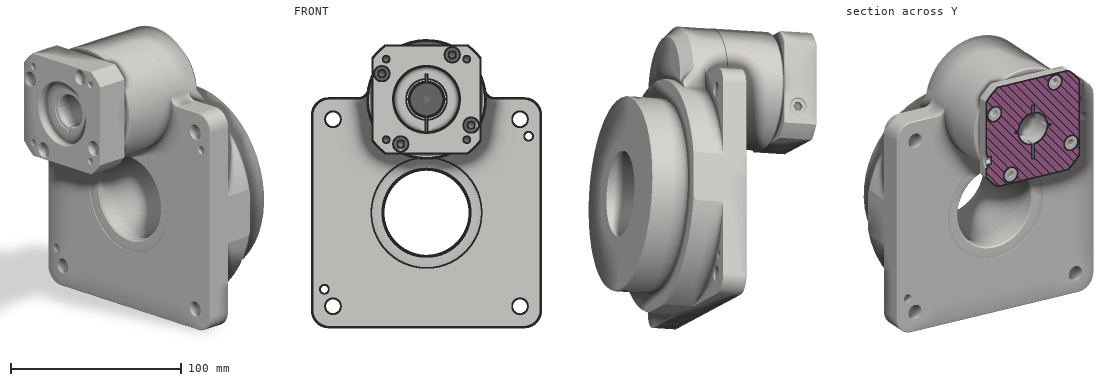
import cadquery as cq
import math


plate_side = 135.0
plate_half = plate_side / 2
plate_thickness = 14.7
plate_corner_radius = 10.1
front_edge_chamfer = 0.5

drum_radius = 69.0
drum_back = 33.0
drum_edge_depth = 1.5
drum_edge_drop = 0.5
disc_radius = 57.5
disc_back = 55.1
disc_edge_depth = 1.0
disc_edge_drop = 0.3

bore_radius = 25.2
bore_chamfer = 0.8
ring_recess_radius = 32.5
ring_recess_depth = 0.5

mount_hole_offset = 55.0
mount_hole_radius = 4.5
dowel_hole_x = 60.0
dowel_hole_z = 45.0
dowel_hole_radius = 2.5

overall_height = 169.1
gear_radius = 35.0
gear_axis_z = overall_height - plate_half - gear_radius
boss_radius = 34.8
boss_back = 27.9
boss_chamfer = 6.3
boss_fillet = 6.0
ramp_low_z = 63.4
ramp_high_z = 71.0

gear_front = -34.2
gear_edge_chamfer = 0.7
neck_radius = 31.5
flange_back = -35.7
flange_front = -55.8
flange_half = 32.0
flange_corner_radius = 40.0
flange_chamfer = 0.3

pilot_radius = 19.3
pilot_chamfer = 0.5
pilot_depth = 6.1
sleeve_radius = 12.0
sleeve_step = 0.7
shaft_bore_radius = 9.8
shaft_bore_chamfer = 0.7
shaft_bore_depth = 30.5
slit_width = 1.4
slit_depth = 13.5
upper_slit_reach = 14.7
side_slit_width = 0.7

screw_circle_radius = 30.3
screw_first_angle = 60
screw_recess_radius = 4.5
screw_recess_depth = 13.5
socket_radius = 2.2
socket_depth = 2.5
socket_point_depth = 1.4

motor_hole_offset = 23.7
motor_hole_radius = 2.0
motor_hole_depth = 8.5
drill_point_depth = 1.2

clamp_screw_y = -44.5
clamp_screw_drop = 13.9
clamp_recess_radius = 5.2
clamp_recess_depth = 0.7
clamp_socket_width = 5.7
clamp_socket_depth = 2.5


def rod(radius, y_start, y_end, x=0.0, z=0.0):
    """Round bar along Y from y_start up to y_end."""
    plane = cq.Workplane("XZ", origin=(0, y_end, 0))
    return plane.center(x, z).circle(radius).extrude(y_end - y_start)


def block(width, height, y_start, y_end, x=0.0, z=0.0):
    """Rectangular bar along Y from y_start up to y_end."""
    plane = cq.Workplane("XZ", origin=(0, y_end, 0))
    return plane.center(x, z).rect(width, height).extrude(y_end - y_start)


def taper(radius_start, radius_end, y_start, y_end, x=0.0, z=0.0):
    """Cone along Y whose radius changes from radius_start to radius_end."""
    solid = cq.Solid.makeCone(
        radius_start, radius_end, y_end - y_start, cq.Vector(x, y_start, z), cq.Vector(0, 1, 0)
    )
    return cq.Workplane(obj=solid)


def fillet_web(tangent_x, tangent_z, arc_x, arc_z, y_start, y_end, side):
    """Web in the corner between boss and table, hollowed by an arc centred at (arc_x, arc_z)."""
    reach = boss_fillet / math.hypot(arc_x, arc_z - gear_axis_z)
    boss_x = arc_x * (1 - reach)
    boss_z = arc_z + (gear_axis_z - arc_z) * reach
    profile = [(0, gear_axis_z), (boss_x, boss_z), (arc_x, arc_z), (tangent_x, tangent_z), (0, 0)]
    web = (
        cq.Workplane("XZ", origin=(0, y_end, 0))
        .polyline([(side * x, z) for x, z in profile])
        .close()
        .extrude(y_end - y_start)
    )
    return web.cut(rod(boss_fillet, y_start, y_end, side * arc_x, arc_z))


def plate_webs():
    """Fillets between the boss and the flat top of the plate."""
    arc_z = plate_half + boss_fillet
    arc_x = math.sqrt((boss_radius + boss_fillet) ** 2 - (arc_z - gear_axis_z) ** 2)
    webs = cq.Workplane("XZ")
    for side in (-1, 1):
        webs = webs.add(fillet_web(arc_x, plate_half, arc_x, arc_z, 0, plate_thickness, side))
    return webs


def drum_webs():
    """Fillets between the boss and the round drum."""
    to_table = drum_radius + boss_fillet
    to_boss = boss_radius + boss_fillet
    arc_z = (to_table**2 - to_boss**2 + gear_axis_z**2) / (2 * gear_axis_z)
    arc_x = math.sqrt(to_table**2 - arc_z**2)
    shrink = drum_radius / to_table
    webs = cq.Workplane("XZ")
    for side in (-1, 1):
        webs = webs.add(
            fillet_web(arc_x * shrink, arc_z * shrink, arc_x, arc_z, plate_thickness, boss_back, side)
        )
    return webs


def make_boss():
    """Boss chamfered around its back edge, down to ramps that run out to full size at the drum."""
    cone_start = boss_back - boss_chamfer
    boss = rod(boss_radius, plate_thickness, cone_start, z=gear_axis_z)
    boss = boss.union(taper(boss_radius, boss_radius - boss_chamfer, cone_start, boss_back, z=gear_axis_z))
    below_ramp = (
        cq.Workplane("YZ")
        .polyline([(cone_start, 0), (boss_back, 0), (boss_back, ramp_low_z), (cone_start, ramp_high_z)])
        .close()
        .extrude(boss_radius, both=True)
    )
    full_end = rod(boss_radius, cone_start, boss_back, z=gear_axis_z)
    return boss.union(full_end.intersect(below_ramp))


def make_plate():
    """Square plate with the boss outline, chamfered along its front edge."""
    plate = block(plate_side, plate_side, 0, plate_thickness).edges("|Y").fillet(plate_corner_radius)
    plate = plate.union(rod(boss_radius, 0, plate_thickness, z=gear_axis_z))
    for web in plate_webs().vals():
        plate = plate.union(cq.Workplane(obj=web))
    return plate.clean().faces("<Y").chamfer(front_edge_chamfer)


def make_drum():
    """Round drum, flattened where it meets the sides and bottom of the plate."""
    edge_start = drum_back - drum_edge_depth
    drum = rod(drum_radius, plate_thickness, edge_start)
    drum = drum.union(taper(drum_radius, drum_radius - drum_edge_drop, edge_start, drum_back))
    flats_height = plate_half + drum_radius
    flats = block(plate_side, flats_height, plate_thickness, drum_back, z=flats_height / 2 - plate_half)
    return drum.intersect(flats)


def make_disc():
    edge_start = disc_back - disc_edge_depth
    disc = rod(disc_radius, drum_back, edge_start)
    return disc.union(taper(disc_radius, disc_radius - disc_edge_drop, edge_start, disc_back))


def make_housing():
    housing = make_plate().union(make_drum()).union(make_boss()).union(make_disc())
    for web in drum_webs().vals():
        housing = housing.union(cq.Workplane(obj=web))

    housing = housing.cut(rod(bore_radius, 0, disc_back))
    housing = housing.cut(rod(ring_recess_radius, 0, ring_recess_depth))
    chamfer_end = ring_recess_depth + bore_chamfer
    housing = housing.cut(taper(bore_radius + bore_chamfer, bore_radius, ring_recess_depth, chamfer_end))

    for x in (-mount_hole_offset, mount_hole_offset):
        for z in (-mount_hole_offset, mount_hole_offset):
            housing = housing.cut(rod(mount_hole_radius, 0, plate_thickness, x, z))
    for side in (-1, 1):
        hole = rod(dowel_hole_radius, 0, plate_thickness, side * dowel_hole_x, side * dowel_hole_z)
        housing = housing.cut(hole)
    return housing


def make_flange():
    """Square motor flange whose corners are turned to a circle."""
    side = 2 * flange_half
    square = block(side, side, flange_front, flange_back, z=gear_axis_z)
    flange = square.intersect(rod(flange_corner_radius, flange_front, flange_back, z=gear_axis_z))
    return flange.faces("<Y or >Y").chamfer(flange_chamfer)


def cut_clamp_hub(gearhead):
    """Pilot recess, shaft bore and the slits of the clamping sleeve."""
    floor = flange_front + pilot_depth
    sleeve_face = floor + sleeve_step
    slit_end = floor + slit_depth
    gearhead = gearhead.cut(rod(pilot_radius, flange_front, floor, z=gear_axis_z))
    pilot_mouth = pilot_radius + pilot_chamfer
    chamfer_end = flange_front + pilot_chamfer
    gearhead = gearhead.cut(taper(pilot_mouth, pilot_radius, flange_front, chamfer_end, z=gear_axis_z))
    gearhead = gearhead.cut(rod(sleeve_radius, floor, sleeve_face, z=gear_axis_z))
    gearhead = gearhead.cut(rod(shaft_bore_radius, floor, floor + shaft_bore_depth, z=gear_axis_z))
    mouth_radius = shaft_bore_radius + shaft_bore_chamfer
    mouth_end = sleeve_face + shaft_bore_chamfer
    gearhead = gearhead.cut(taper(mouth_radius, shaft_bore_radius, sleeve_face, mouth_end, z=gear_axis_z))

    slit_height = upper_slit_reach + pilot_radius
    slit_z = gear_axis_z + (upper_slit_reach - pilot_radius) / 2
    gearhead = gearhead.cut(block(slit_width, slit_height, floor, slit_end, z=slit_z))
    return gearhead.cut(block(2 * sleeve_radius, side_slit_width, floor, slit_end, z=gear_axis_z))


def cut_flange_screws(gearhead):
    """Recesses that end on the heads of the four flange screws, each with a drilled socket."""
    head = flange_front + screw_recess_depth
    for quarter in range(4):
        angle = math.radians(screw_first_angle + 90 * quarter)
        x = screw_circle_radius * math.cos(angle)
        z = gear_axis_z + screw_circle_radius * math.sin(angle)
        gearhead = gearhead.cut(rod(screw_recess_radius, flange_front, head, x, z))
        cone_start = head + socket_depth
        gearhead = gearhead.cut(rod(socket_radius, head, cone_start, x, z))
        gearhead = gearhead.cut(taper(socket_radius, 0, cone_start, cone_start + socket_point_depth, x, z))
    return gearhead


def cut_motor_holes(gearhead):
    """Drilled holes for the motor, with conical ends."""
    cone_start = flange_front + motor_hole_depth
    cone_end = cone_start + drill_point_depth
    for x in (-motor_hole_offset, motor_hole_offset):
        for z in (gear_axis_z - motor_hole_offset, gear_axis_z + motor_hole_offset):
            gearhead = gearhead.cut(rod(motor_hole_radius, flange_front, cone_start, x, z))
            gearhead = gearhead.cut(taper(motor_hole_radius, 0, cone_start, cone_end, x, z))
    return gearhead


def cut_clamp_screw(gearhead):
    """Tapered recess on the -X side of the flange, ending on a clamp screw with a hexagon socket."""
    center_z = gear_axis_z - clamp_screw_drop
    side_face = cq.Workplane("YZ", origin=(-flange_half, clamp_screw_y, center_z))
    recess = cq.Solid.makeCone(
        clamp_recess_radius,
        clamp_recess_radius - clamp_recess_depth,
        clamp_recess_depth,
        cq.Vector(-flange_half, clamp_screw_y, center_z),
        cq.Vector(1, 0, 0),
    )
    gearhead = gearhead.cut(cq.Workplane(obj=recess))
    socket = side_face.polygon(6, clamp_socket_width).extrude(clamp_recess_depth + clamp_socket_depth)
    return gearhead.cut(socket)


def make_gearhead():
    case = rod(gear_radius, gear_front, 0, z=gear_axis_z).faces("<Y").chamfer(gear_edge_chamfer)
    neck = rod(neck_radius, flange_back, gear_front, z=gear_axis_z)
    gearhead = case.union(neck).union(make_flange())
    gearhead = cut_clamp_hub(gearhead)
    gearhead = cut_flange_screws(gearhead)
    gearhead = cut_motor_holes(gearhead)
    return cut_clamp_screw(gearhead)


housing = make_housing()
gearhead = make_gearhead()
result = cq.Compound.makeCompound([housing.solids().val(), gearhead.solids().val()])